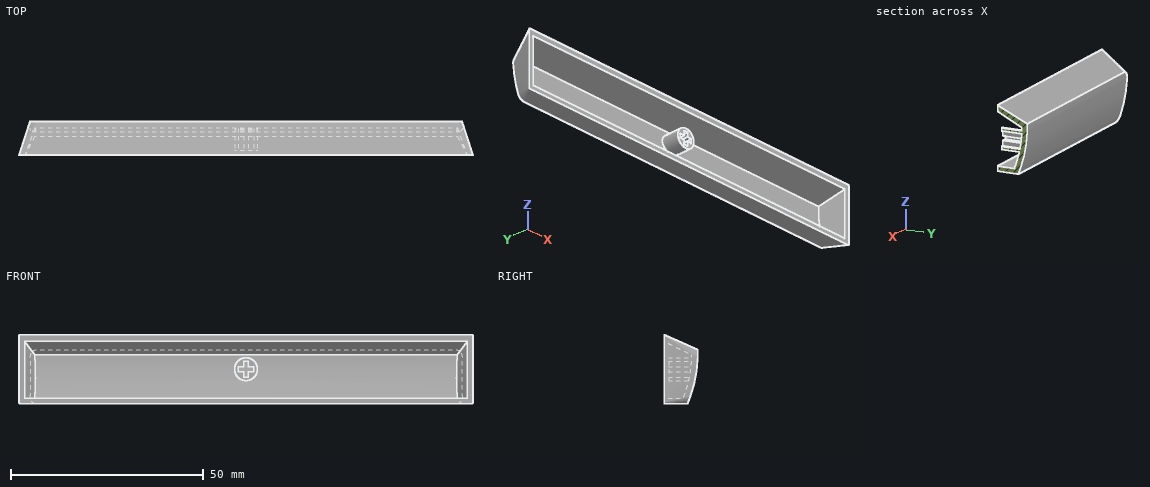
import cadquery as cq
import math

length = 118.12
width = 18.0
height = 8.8

end_taper = 3.0
upper_taper = 4.3
rim_corner_radius = 0.35
crown_corner_radius = 2.0

low_edge_height = 6.1
crest_setback = 0.7
crest_z = width - upper_taper - crest_setback

wall = 1.5
upper_wall = 1.8
crown_wall = 1.7
cavity_end_taper = 2.8
cavity_upper_taper = 3.7

stem_diameter = 5.95
stem_recess = 1.2
stem_z = width / 2
cross_span = 4.1
cross_arm_width = 1.25

crown_drop = height - low_edge_height
crown_radius = (crest_z**2 + crown_drop**2) / (2 * crown_drop)
crown_tilt = math.atan2(crown_drop, crest_z)
chord_length = math.hypot(crown_drop, crest_z)
sagitta = crown_radius - math.sqrt(crown_radius**2 - chord_length**2 / 4)


def rounded_wire(plane, size_x, size_z, radius):
    """Rectangular wire standing on the plane's origin, with rounded corners when radius > 0."""
    wire = cq.Workplane(plane).center(0, size_z / 2).rect(size_x, size_z).val()
    if radius > 0:
        wire = wire.fillet2D(radius, wire.Vertices())
    return wire


def tapered_block(rim_size, rim_z, rim_radius, top_size, top_y, top_radius):
    """Loft from an upright rectangle at the rim to one tilted like the crown at height top_y."""
    rim_plane = cq.Plane(origin=(0, 0, rim_z), xDir=(1, 0, 0), normal=(0, -1, 0))
    tilted_normal = (0, -math.cos(crown_tilt), math.sin(crown_tilt))
    top_plane = cq.Plane(origin=(0, top_y, rim_z), xDir=(1, 0, 0), normal=tilted_normal)
    rim = rounded_wire(rim_plane, *rim_size, rim_radius)
    top = rounded_wire(top_plane, *top_size, top_radius)
    return cq.Workplane(obj=cq.Solid.makeLoft([rim, top], True))


def crown_cylinder(offset):
    """Solid cylinder along X whose surface lies `offset` below the crown."""
    return (
        cq.Workplane("YZ", origin=(0, height - crown_radius, crest_z))
        .circle(crown_radius - offset)
        .extrude(length / 2, both=True)
    )


def outer_block():
    """Solid shape of the shell, its top face just touching the crown arc midway along its chord."""
    rim_size = (length, width)
    top_size = (length - 2 * end_taper, (width - upper_taper) / math.cos(crown_tilt))
    top_y = low_edge_height + sagitta / math.cos(crown_tilt)
    return tapered_block(rim_size, 0, rim_corner_radius, top_size, top_y, crown_corner_radius)


def cavity():
    """Tapered pocket open at the rim, with a floor parallel to the crown."""
    rim_length = length - 2 * wall
    rim_width = width - wall - upper_wall
    top_length = rim_length - 2 * cavity_end_taper
    top_width = (rim_width - cavity_upper_taper) / math.cos(crown_tilt)
    top_y = low_edge_height + wall * math.tan(crown_tilt) + (sagitta - crown_wall) / math.cos(crown_tilt)
    block = tapered_block((rim_length, rim_width), wall, 0, (top_length, top_width), top_y, 0)
    return block.intersect(crown_cylinder(crown_wall))


def stem():
    """Post from the recessed tip up into the crown wall."""
    tip = cq.Workplane("XZ", origin=(0, stem_recess, stem_z))
    return tip.circle(stem_diameter / 2).extrude(stem_recess - height).intersect(crown_cylinder(crown_wall / 2))


def stem_socket():
    """Cross running through the stem down to the cavity floor."""
    tip = cq.Workplane("XZ", origin=(0, stem_recess, stem_z))
    across = tip.rect(cross_span, cross_arm_width).extrude(stem_recess - height)
    upright = tip.rect(cross_arm_width, cross_span).extrude(stem_recess - height)
    return across.union(upright).intersect(crown_cylinder(crown_wall))


shell = outer_block().intersect(crown_cylinder(0)).cut(cavity())
result = shell.union(stem()).cut(stem_socket())